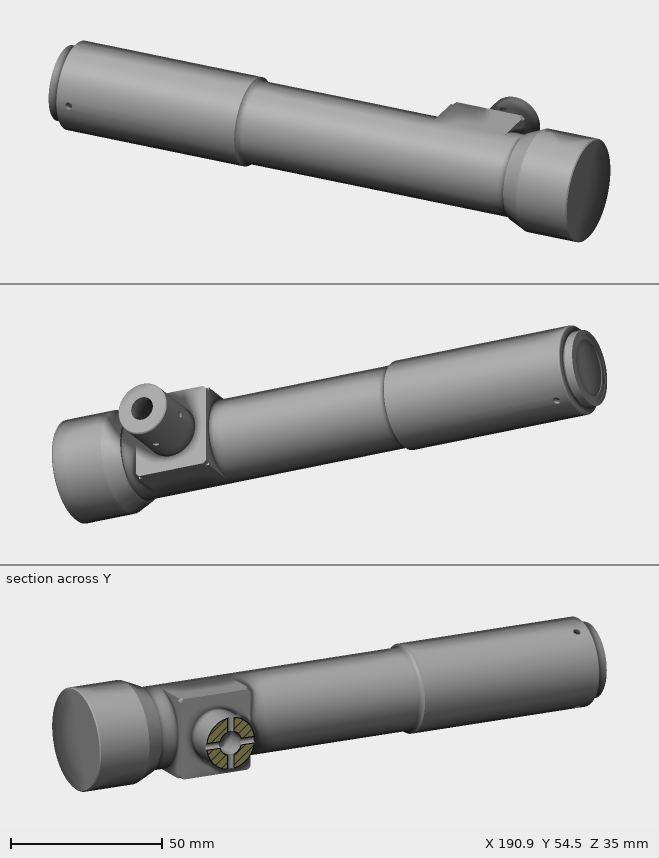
import cadquery as cq

length = 190.9
cut_margin = 2.0

mount_radius = 12.8
mount_length = 3.6
mount_groove_radius = 12.2
mount_groove_width = 0.8
mount_recess_radius = 11.5
mount_recess_depth = 0.2
window_radius = 9.5
window_depth = 0.4

sleeve_radius = 15.0
sleeve_start = mount_length
sleeve_end = 68.7
sleeve_rounding = 0.5
sleeve_fillet_length = 1.7

tube_radius = 14.0

sleeve_step = sleeve_radius - tube_radius
sleeve_fillet_radius = (sleeve_fillet_length**2 + sleeve_step**2) / (2 * sleeve_step)

head_diameter = 35.0
head_radius = head_diameter / 2
head_length = 18.3
head_chamfer = 0.4
head_cone_start = 166.6
head_cone_radius = 14.9

sleeve_hole_count = 3
sleeve_hole_x = 8.4
sleeve_hole_diameter = 2.5
sleeve_hole_depth = 2.0

block_x = 147.2
block_width = 26.0
block_reach = 16.0
block_corner_radius = 18.3

arm_radius = 9.0
overall_width = 54.5
arm_end = overall_width - head_radius
arm_chamfer = 0.4
arm_bore_radius = 4.0
arm_hole_y = 27.1
arm_hole_diameter = 2.3


def x_disc(radius, start, depth):
    """Cylinder along the barrel axis."""
    return cq.Workplane("YZ", origin=(start, 0, 0)).circle(radius).extrude(depth)


def y_disc(radius, start, depth):
    """Cylinder along the side arm axis, growing toward +Y."""
    plane = cq.Plane(origin=(block_x, start, 0), xDir=(1, 0, 0), normal=(0, 1, 0))
    return cq.Workplane(plane).circle(radius).extrude(depth)


def make_barrel():
    """Mount, sleeve, tube and head, turned as one profile about X."""
    groove_start = mount_length - mount_groove_width
    mount_outline = [
        (0, mount_radius),
        (groove_start, mount_radius),
        (groove_start, mount_groove_radius),
        (sleeve_start, mount_groove_radius),
        (sleeve_start, sleeve_radius - sleeve_rounding),
    ]
    rounding_end = (sleeve_start + sleeve_rounding, sleeve_radius)
    fillet_end = (sleeve_end + sleeve_fillet_length, tube_radius)
    front_outline = [
        (head_cone_start, tube_radius),
        (head_cone_start, head_cone_radius),
        (length - head_length, head_radius),
        (length - head_chamfer, head_radius),
        (length, head_radius - head_chamfer),
        (length, 0),
    ]
    profile = (
        cq.Workplane("XY")
        .moveTo(0, 0)
        .polyline(mount_outline, includeCurrent=True)
        .radiusArc(rounding_end, sleeve_rounding)
        .lineTo(sleeve_end, sleeve_radius)
        .radiusArc(fillet_end, -sleeve_fillet_radius)
        .polyline(front_outline, includeCurrent=True)
        .close()
    )
    return profile.revolve(360, (0, 0, 0), (1, 0, 0))


def make_block():
    """Block as tall as the tube; outside the tube its corners are turned round."""
    block_height = 2 * tube_radius
    block = cq.Workplane("XY").box(block_width, block_reach, block_height, centered=(True, False, True))
    block = block.translate((block_x, 0, 0))
    inner = y_disc(2 * block_width, 0, tube_radius)
    outer = y_disc(block_corner_radius, tube_radius, block_reach - tube_radius)
    return block.intersect(inner.union(outer))


def make_arm():
    """Round arm with a chamfered rim, rooted on the barrel axis."""
    arm = y_disc(arm_radius, 0, arm_end)
    return arm.faces(">Y").chamfer(arm_chamfer)


def sleeve_holes():
    """Blind radial holes evenly spaced around the sleeve, the first one at -Y."""
    bottom = sleeve_radius - sleeve_hole_depth
    plane = cq.Plane(origin=(sleeve_hole_x, -bottom, 0), xDir=(1, 0, 0), normal=(0, -1, 0))
    hole = cq.Workplane(plane).circle(sleeve_hole_diameter / 2).extrude(sleeve_hole_depth + cut_margin)
    holes = hole
    for index in range(1, sleeve_hole_count):
        angle = index * 360 / sleeve_hole_count
        holes = holes.union(hole.rotate((0, 0, 0), (1, 0, 0), angle))
    return holes


def arm_holes():
    """Two crossed holes through the walls of the side arm, along Z and along X."""
    reach = arm_radius + cut_margin
    vertical = cq.Workplane("XY").circle(arm_hole_diameter / 2).extrude(reach, both=True)
    crosswise = cq.Workplane("YZ").circle(arm_hole_diameter / 2).extrude(reach, both=True)
    return vertical.union(crosswise).translate((block_x, arm_hole_y, 0))


result = make_barrel().union(make_block()).union(make_arm())
result = result.cut(x_disc(mount_recess_radius, 0, mount_recess_depth))
result = result.cut(x_disc(window_radius, mount_recess_depth, window_depth))
result = result.cut(y_disc(arm_bore_radius, block_reach, arm_end - block_reach))
result = result.cut(sleeve_holes()).cut(arm_holes())